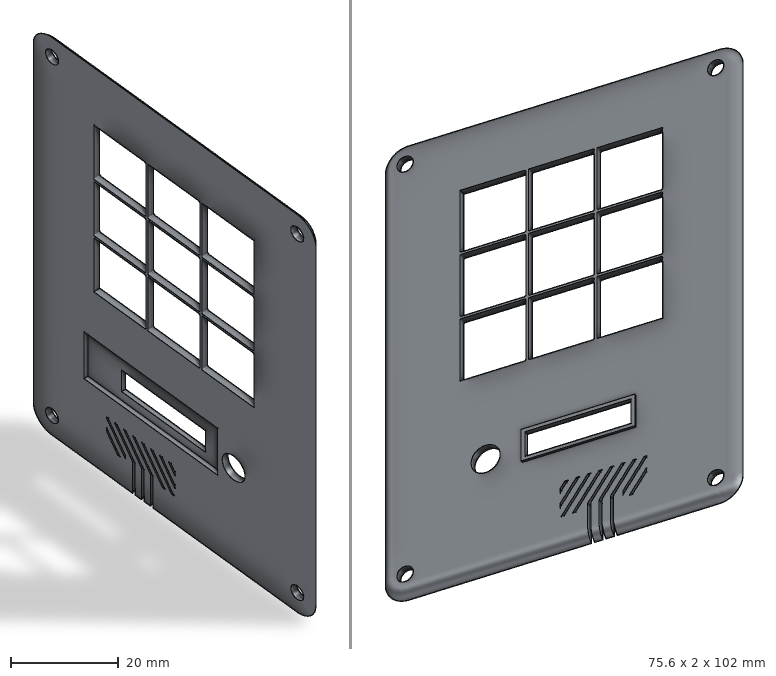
import cadquery as cq
import math

WIDTH = 75.63
HEIGHT = 102.01
PLATE_THICKNESS = 1.5
TOTAL_THICKNESS = 2.0
CORNER_RADIUS = 5.0
FRONT_Y = 0.0
BACK_Y = FRONT_Y + PLATE_THICKNESS
BOSS_Y = FRONT_Y + TOTAL_THICKNESS

EDGE_RADIUS = 3.5
EDGE_INSET = math.sqrt(EDGE_RADIUS**2 - (EDGE_RADIUS - PLATE_THICKNESS) ** 2)
EDGE_OVERHANG = EDGE_RADIUS - EDGE_INSET

SCREW_DIAMETER = 3.4
SCREW_SPACING_X = WIDTH - 2 * CORNER_RADIUS
SCREW_SPACING_Z = HEIGHT - 2 * CORNER_RADIUS

KEY_COUNT = 3
KEYPAD_SIZE = 42.8
KEYPAD_X = -0.2
KEYPAD_Z = 14.87
KEY_BAR = 0.55
KEY_SIZE = (KEYPAD_SIZE - (KEY_COUNT - 1) * KEY_BAR) / KEY_COUNT
KEY_PITCH = KEY_SIZE + KEY_BAR
KEY_FILLET = 0.3

WINDOW_X = -4.0
WINDOW_Z = -25.6
WINDOW_WIDTH = 22.4
WINDOW_HEIGHT = 5.5
FRAME_WALL = 0.8
FRAME_WIDTH = WINDOW_WIDTH + 2 * FRAME_WALL
FRAME_HEIGHT = WINDOW_HEIGHT + 2 * FRAME_WALL
RECESS_X = -6.35
RECESS_Z = -24.6
RECESS_WIDTH = 35.8
RECESS_HEIGHT = 12.0
RECESS_DEPTH = 1.0

BUTTON_DIAMETER = 6.1
BUTTON_X = 15.8
BUTTON_Z = -25.8

SLIT_WIDTH = 0.65
SLIT_PITCH = 2.4
SLIT_ANGLE = math.radians(36)
SLIT_SLOPE = math.tan(SLIT_ANGLE)
FIELD_LEFT = -18.2
FIELD_RIGHT = 0.1
FIELD_TOP = -36.3
FIELD_BOTTOM = -44.0
STEM_X = -8.5
STEM_COUNT = 3
FIRST_STEM_X = STEM_X - (STEM_COUNT - 1) / 2 * SLIT_PITCH
STEM_CENTRES = [FIRST_STEM_X + i * SLIT_PITCH for i in range(STEM_COUNT)]
STEM_SLIT_LEAD = 2 * SLIT_PITCH
STEM_TOP = FIELD_TOP - STEM_SLIT_LEAD / SLIT_SLOPE
FREE_LEFT_COUNT = 2
FREE_RIGHT_COUNT = 4
LEFT_SLIT_LIMIT = -13.2


def prism(points, y_start, y_end):
    """Extrude an (x, z) outline from y_start to y_end."""
    plane = cq.Workplane("XZ", origin=(0, y_start, 0))
    return plane.polyline(points).close().extrude(y_start - y_end)


def block(x, z, width, height, y_start, y_end):
    """Rectangular block centred on (x, z)."""
    plane = cq.Workplane("XZ", origin=(0, y_start, 0))
    return plane.center(x, z).rect(width, height).extrude(y_start - y_end)


def make_plate():
    grown_width = WIDTH + 2 * EDGE_OVERHANG
    grown_height = HEIGHT + 2 * EDGE_OVERHANG
    blank_front = BACK_Y - 2 * EDGE_RADIUS
    blank = block(0, 0, grown_width, grown_height, blank_front, BACK_Y)
    blank = blank.edges("|Y").fillet(CORNER_RADIUS + EDGE_OVERHANG)
    blank = blank.faces(">Y").edges().fillet(EDGE_RADIUS)
    return blank.intersect(block(0, 0, grown_width, grown_height, FRONT_Y, BACK_Y))


def make_screw_holes():
    plane = cq.Workplane("XZ", origin=(0, FRONT_Y, 0))
    centres = plane.rect(SCREW_SPACING_X, SCREW_SPACING_Z, forConstruction=True).vertices()
    return centres.circle(SCREW_DIAMETER / 2).extrude(-PLATE_THICKNESS)


def make_keypad():
    """Square openings with fillets at every corner where a bar ends or two bars cross."""
    plane = cq.Workplane("XZ", origin=(KEYPAD_X, FRONT_Y, KEYPAD_Z))
    cells = plane.rarray(KEY_PITCH, KEY_PITCH, KEY_COUNT, KEY_COUNT).rect(KEY_SIZE, KEY_SIZE)
    openings = cells.extrude(-PLATE_THICKNESS)
    filleted = openings.edges("|Y").fillet(KEY_FILLET)
    corner_spacing = KEYPAD_SIZE - KEY_FILLET
    corner_squares = plane.rarray(corner_spacing, corner_spacing, 2, 2).rect(KEY_FILLET, KEY_FILLET)
    return filleted.union(corner_squares.extrude(-PLATE_THICKNESS))


def slanted_slit(top_x, right_limit):
    """Slit descending to the right from top_x, trimmed to the field and to right_limit."""
    half_width = SLIT_WIDTH / 2
    overrun = SLIT_PITCH
    shift = overrun * SLIT_SLOPE
    bottom_x = top_x + (FIELD_TOP - FIELD_BOTTOM) * SLIT_SLOPE
    outline = [
        (top_x - shift - half_width, FIELD_TOP + overrun),
        (top_x - shift + half_width, FIELD_TOP + overrun),
        (bottom_x + shift + half_width, FIELD_BOTTOM - overrun),
        (bottom_x + shift - half_width, FIELD_BOTTOM - overrun),
    ]
    field = block(
        (FIELD_LEFT + right_limit) / 2,
        (FIELD_TOP + FIELD_BOTTOM) / 2,
        right_limit - FIELD_LEFT,
        FIELD_TOP - FIELD_BOTTOM,
        FRONT_Y,
        BACK_Y,
    )
    return prism(outline, FRONT_Y, BACK_Y).intersect(field)


def stemmed_slit(stem_x):
    """Slit that bends at the stem top and runs straight down through the plate edge."""
    half_width = SLIT_WIDTH / 2
    top_x = stem_x - STEM_SLIT_LEAD
    edge_z = -HEIGHT / 2
    outline = [
        (top_x - half_width, FIELD_TOP),
        (top_x + half_width, FIELD_TOP),
        (stem_x + half_width, STEM_TOP),
        (stem_x + half_width, edge_z),
        (stem_x - half_width, edge_z),
        (stem_x - half_width, STEM_TOP),
    ]
    return prism(outline, FRONT_Y, BACK_Y)


def make_slits():
    first_top = STEM_CENTRES[0] - STEM_SLIT_LEAD
    last_top = STEM_CENTRES[-1] - STEM_SLIT_LEAD
    slits = [stemmed_slit(stem_x) for stem_x in STEM_CENTRES]
    for i in range(FREE_LEFT_COUNT):
        slits.append(slanted_slit(first_top - (i + 1) * SLIT_PITCH, LEFT_SLIT_LIMIT))
    for i in range(FREE_RIGHT_COUNT):
        slits.append(slanted_slit(last_top + (i + 1) * SLIT_PITCH, FIELD_RIGHT))
    return slits


def make_button_hole():
    plane = cq.Workplane("XZ", origin=(BUTTON_X, FRONT_Y, BUTTON_Z))
    return plane.circle(BUTTON_DIAMETER / 2).extrude(-PLATE_THICKNESS)


def add_display(plate):
    frame = block(WINDOW_X, WINDOW_Z, FRAME_WIDTH, FRAME_HEIGHT, FRONT_Y, BOSS_Y)
    recess = block(RECESS_X, RECESS_Z, RECESS_WIDTH, RECESS_HEIGHT, FRONT_Y, FRONT_Y + RECESS_DEPTH)
    window = block(WINDOW_X, WINDOW_Z, WINDOW_WIDTH, WINDOW_HEIGHT, FRONT_Y, BOSS_Y)
    return plate.union(frame).cut(recess).cut(window)


result = add_display(make_plate())
result = result.cut(make_screw_holes())
result = result.cut(make_button_hole())
result = result.cut(make_keypad())
for slit in make_slits():
    result = result.cut(slit)